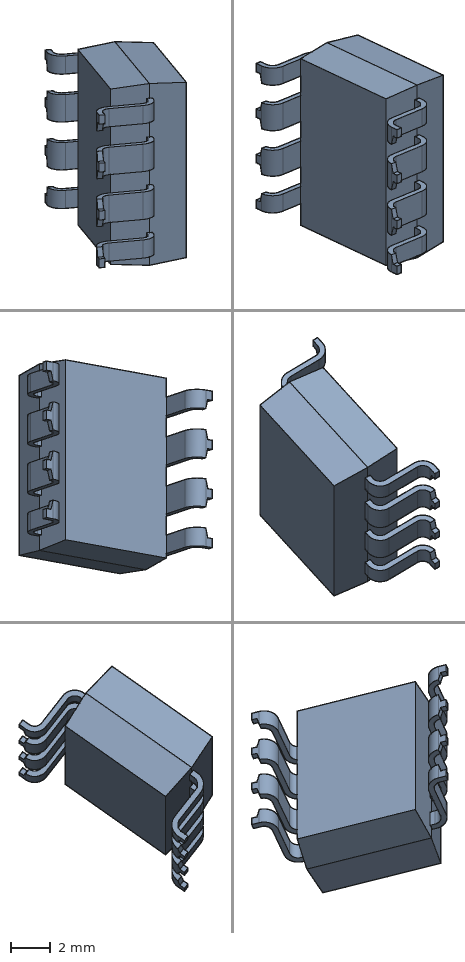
import cadquery as cq
import math


overall_width = 10.3
overall_depth = 5.08

housing_width = 6.6
housing_length = 9.65
housing_depth = 3.935
half_depth = housing_depth / 2
draft_angle = 5.0
draft_slope = math.tan(math.radians(draft_angle))

lead_thickness = 0.3
inner_bend_radius = 0.45
outer_bend_radius = inner_bend_radius + lead_thickness
lead_pitch = 2.54
leads_per_side = 4
lead_width = 1.455
toe_width = 0.475
toe_length = 0.28
foot_flat_length = 0.405

shoulder_top = lead_thickness / 2
shoulder_bottom = -lead_thickness / 2
foot_top = half_depth - overall_depth + lead_thickness
foot_bottom = foot_top - lead_thickness
toe_x = overall_width / 2
neck_x = toe_x - toe_length
foot_bend_x = toe_x - foot_flat_length
leg_inner_x = foot_bend_x - outer_bend_radius
leg_outer_x = leg_inner_x + lead_thickness
shoulder_bend_x = leg_inner_x - inner_bend_radius
housing_edge_x = housing_width / 2
housing_contact_x = housing_edge_x - shoulder_top * draft_slope


def make_housing_half(direction):
    """Half of the housing, from the parting plane towards +Y (direction 1) or -Y (-1)."""
    parting_face = cq.Workplane(cq.Plane(origin=(0, 0, 0), xDir=(1, 0, 0), normal=(0, direction, 0)))
    return parting_face.rect(housing_width, housing_length).extrude(half_depth, taper=draft_angle)


def bend_point(center_x, center_y, radius, angle):
    """Point on a bend, at an angle in degrees from +X."""
    turn = math.radians(angle)
    return (center_x + radius * math.cos(turn), center_y + radius * math.sin(turn))


def make_lead_strip(low_z, high_z):
    """Bent strip on the +X side; its inner end follows the two drafted housing faces."""
    shoulder_center = (shoulder_bend_x, shoulder_top - outer_bend_radius)
    shoulder_inner_mid = bend_point(*shoulder_center, inner_bend_radius, 45)
    shoulder_outer_mid = bend_point(*shoulder_center, outer_bend_radius, 45)
    foot_center = (foot_bend_x, foot_bottom + outer_bend_radius)
    foot_inner_mid = bend_point(*foot_center, inner_bend_radius, 225)
    foot_outer_mid = bend_point(*foot_center, outer_bend_radius, 225)
    profile = (
        cq.Workplane("XY", origin=(0, 0, low_z))
        .moveTo(housing_edge_x, 0)
        .lineTo(housing_contact_x, shoulder_top)
        .lineTo(shoulder_bend_x, shoulder_top)
        .threePointArc(shoulder_outer_mid, (leg_outer_x, shoulder_center[1]))
        .lineTo(leg_outer_x, foot_center[1])
        .threePointArc(foot_inner_mid, (foot_bend_x, foot_top))
        .lineTo(toe_x, foot_top)
        .lineTo(toe_x, foot_bottom)
        .lineTo(foot_bend_x, foot_bottom)
        .threePointArc(foot_outer_mid, (leg_inner_x, foot_center[1]))
        .lineTo(leg_inner_x, shoulder_center[1])
        .threePointArc(shoulder_inner_mid, (shoulder_bend_x, shoulder_bottom))
        .lineTo(housing_contact_x, shoulder_bottom)
        .close()
    )
    return profile.extrude(high_z - low_z)


def make_toe_notch(center_z, direction):
    """Waste beside the narrow toe, on its +Z (direction 1) or -Z (-1) flank."""
    toe_edge = center_z + direction * toe_width / 2
    lead_edge = center_z + direction * lead_width / 2
    return (
        cq.Workplane("XZ", origin=(0, foot_top, 0))
        .polyline([(toe_x, toe_edge), (neck_x, toe_edge), (foot_bend_x, lead_edge), (toe_x, lead_edge)])
        .close()
        .extrude(lead_thickness)
    )


def make_lead(center_z, has_lower_flank, has_upper_flank):
    """Lead on the +X side; a missing flank leaves it flush with the toe there."""
    low_z = center_z - (lead_width if has_lower_flank else toe_width) / 2
    high_z = center_z + (lead_width if has_upper_flank else toe_width) / 2
    lead = make_lead_strip(low_z, high_z)
    if has_lower_flank:
        lead = lead.cut(make_toe_notch(center_z, -1))
    if has_upper_flank:
        lead = lead.cut(make_toe_notch(center_z, 1))
    return lead


back_half = make_housing_half(1)
front_half = make_housing_half(-1)

leads = []
for index in range(leads_per_side):
    lead_z = (index - (leads_per_side - 1) / 2) * lead_pitch
    right_lead = make_lead(lead_z, has_lower_flank=index > 0, has_upper_flank=index < leads_per_side - 1)
    left_lead = right_lead.mirror("YZ")
    leads.extend([right_lead.val(), left_lead.val()])

result = cq.Compound.makeCompound([back_half.val(), front_half.val(), *leads])